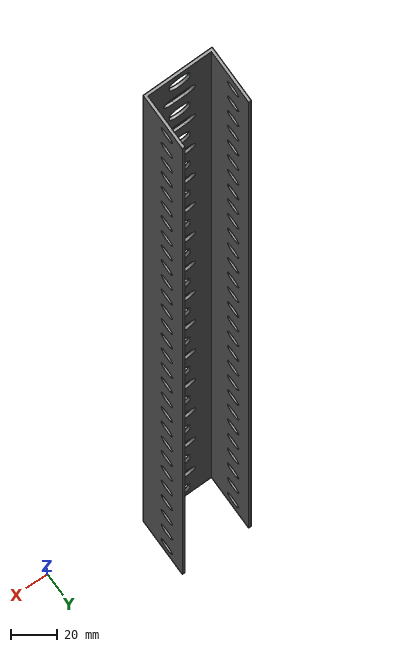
import cadquery as cq

WIDTH = 36.64
DEPTH = 29.0
LENGTH = 870.0
THICKNESS = 1.5

PITCH = 30.0
STATIONS = int(LENGTH / PITCH)
FIRST_STATION_HEIGHT = 13.5
SLOT_LENGTH = 17.0
SLOT_WIDTH = 11.0
FLANGE_HOLE_DIAMETER = 8.2
FLANGE_HOLE_TO_OPEN_EDGE = 11.5

ALONG_LENGTH = 90.0
ACROSS_WIDTH = 0.0


def station_heights(first, step):
    """Heights above the bottom end of every step-th station, starting from station number first."""
    return [FIRST_STATION_HEIGHT + station * PITCH for station in range(first, STATIONS, step)]


def channel():
    """Straight U-channel standing along Z."""
    outer = cq.Workplane("XY").box(WIDTH, DEPTH, LENGTH, centered=(True, False, False))
    inside = (
        cq.Workplane("XY")
        .box(WIDTH - 2 * THICKNESS, DEPTH, LENGTH, centered=(True, False, False))
        .translate((0, THICKNESS, 0))
    )
    return outer.cut(inside)


def web_slots(heights, angle):
    """Slots through the web, centred across its width."""
    return (
        cq.Workplane("XZ")
        .pushPoints([(0, z) for z in heights])
        .slot2D(SLOT_LENGTH, SLOT_WIDTH, angle)
        .extrude(-THICKNESS)
    )


def flange_holes():
    """Round holes passing through both flanges at every station."""
    hole_y = DEPTH - FLANGE_HOLE_TO_OPEN_EDGE
    return (
        cq.Workplane("YZ")
        .pushPoints([(hole_y, z) for z in station_heights(0, 1)])
        .circle(FLANGE_HOLE_DIAMETER / 2)
        .extrude(WIDTH / 2, both=True)
    )


result = (
    channel()
    .cut(web_slots(station_heights(0, 2), ALONG_LENGTH))
    .cut(web_slots(station_heights(1, 2), ACROSS_WIDTH))
    .cut(flange_holes())
)